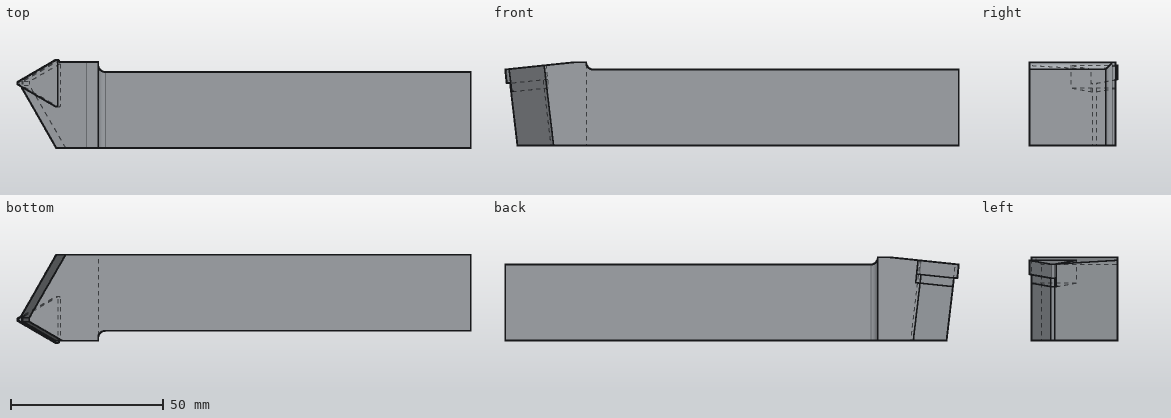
import cadquery as cq
import math

length = 149.2
shank_size = 25.0
head_width = 28.3
head_height = 27.5
head_end = 26.7
step_radius = 2.2
rake_angle = 6.0
side_angle = 30.0
rake_slope = math.tan(math.radians(rake_angle))
rake_start = (head_height - shank_size) / rake_slope

nose_x = 4.0
nose_width = 1.3
clearance_slope = 0.118

insert_thickness = 4.6
base_thickness = 2.8
insert_radius = 0.6
insert_back = 13.5
tip_y = 21.3


def step_profile(plane, low, high, depth):
    """Head and shank outline with a filleted step, extruded by depth."""
    return (
        cq.Workplane(plane)
        .moveTo(0, 0)
        .lineTo(length, 0)
        .lineTo(length, low)
        .lineTo(head_end + step_radius, low)
        .radiusArc((head_end, low + step_radius), step_radius)
        .lineTo(head_end, high)
        .lineTo(0, high)
        .close()
        .extrude(depth)
    )


def flank_prism():
    """Pointed planform swept upwards while leaning towards the tip."""
    nose_low = tip_y - nose_width / 2
    nose_high = tip_y + nose_width / 2
    side_tangent = math.tan(math.radians(side_angle))
    points = [
        (nose_x + nose_low * side_tangent, 0),
        (2 * length, 0),
        (2 * length, head_width),
        (nose_x + (head_width - nose_high) / side_tangent, head_width),
        (nose_x, nose_high),
        (nose_x, nose_low),
    ]
    outline = cq.Wire.makePolygon([cq.Vector(x, y, 0) for x, y in points], close=True)
    sweep = cq.Vector(-clearance_slope * head_height, 0, head_height)
    return cq.Workplane(cq.Solid.extrudeLinear(outline, [], sweep))


def rake_cutter():
    """Wedge above the sloping top face."""
    return (
        cq.Workplane("XZ")
        .polyline([(0, shank_size), (rake_start, head_height), (0, head_height)])
        .close()
        .extrude(-head_width)
    )


def triangle_plate(thickness):
    """Rounded triangle whose top lies in the rake face, its sides square to that face."""
    rake_plane = cq.Plane(
        origin=(0, tip_y, shank_size),
        xDir=(1, 0, rake_slope),
        normal=(-rake_slope, 0, 1),
    )
    back = insert_back / math.cos(math.radians(rake_angle))
    apex = -insert_radius
    half_side = (back - apex) * math.tan(math.radians(30))
    return (
        cq.Workplane(rake_plane)
        .polyline([(apex, 0), (back, -half_side), (back, half_side)])
        .close()
        .extrude(-thickness)
        .edges("|(%f, 0, 1)" % -rake_slope)
        .fillet(insert_radius)
    )


def make_insert():
    """Overhanging triangular plate on a base trimmed flush with the flanks."""
    base = triangle_plate(insert_thickness + base_thickness).intersect(flank_prism())
    return triangle_plate(insert_thickness).union(base)


def make_holder(insert):
    """Shank and head with a pocket that fits the insert."""
    side_shape = step_profile("XZ", shank_size, head_height, -head_width)
    top_shape = step_profile("XY", shank_size, head_width, head_height)
    body = side_shape.intersect(top_shape).intersect(flank_prism())
    return body.cut(rake_cutter()).cut(insert)


insert = make_insert()
holder = make_holder(insert)

result = cq.Compound.makeCompound([holder.val(), insert.val()])